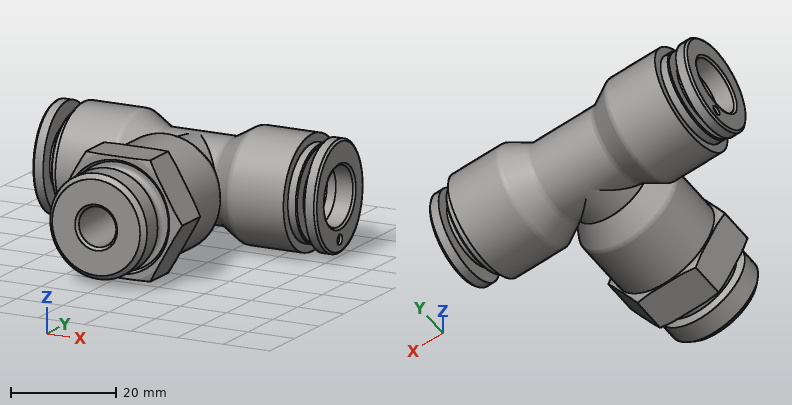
import cadquery as cq
import math

run_half_length = 30.6
overall_depth = 52.8

socket_radius = 23.2 / 2
branch_length = overall_depth - socket_radius
waist_radius = 17.45 / 2
shoulder_end = 12.65
shoulder_angle = 30.0
shoulder_fillet = 1.85
shoulder_run = (socket_radius - waist_radius) / math.tan(math.radians(shoulder_angle))
waist_half_length = shoulder_end - shoulder_run
run_bore_radius = 10.0 / 2
tube_radius = 12.2 / 2
tube_stop = shoulder_end

flange_thickness = 2.4
flange_half_height = 22.5 / 2
flange_half_width = 19.45 / 2
flange_chamfer = 0.4
sleeve_length = 4.1
sleeve_neck_radius = 14.2 / 2
sleeve_mouth_chamfer = 0.4
dimple_diameter = 2.0
dimple_offset = 8.5
dimple_depth = 0.6
collar_radius = 9.8
collar_length = 1.9
collar_chamfer = 0.25
collar_start = run_half_length - sleeve_length
socket_end = collar_start - collar_length

hex_across_flats = 24.0
hex_length = 7.95
hex_start = 24.7
hex_end = hex_start + hex_length
hex_corner_radius = hex_across_flats / math.sqrt(3)
hex_chamfer_radius = 12.55
hex_chamfer_angle = 15.0
hex_chamfer_drop = (hex_corner_radius - hex_chamfer_radius) * math.tan(math.radians(hex_chamfer_angle))
stud_bore_radius = 8.0 / 2
stud_bore_chamfer = 0.55
neck_radius = 18.2 / 2
neck_fillet = 1.0
neck_end = 35.2
thread_radius = 20.9 / 2
thread_chamfer = 1.0
thread_start = 36.0
seal_groove_radius = 11.25
seal_groove_depth = 0.5


def revolve_about_x(points):
    """Solid of revolution about X from (axial position, radius) points."""
    return cq.Workplane("XY").polyline(points).close().revolve(360, (0, 0), (1, 0))


def cylinder_along_x(radius, start, end):
    return cq.Workplane("YZ", origin=(start, 0, 0)).circle(radius).extrude(end - start)


def turn_to_branch(body):
    """Turn a body built along +X so that it points along -Y."""
    return body.rotate((0, 0, 0), (0, 0, 1), -90)


def fillet_circles(body, positions):
    """Round the circular edges that lie at the given positions along X."""
    circles = body.edges("%CIRCLE").filter(
        lambda edge: any(math.isclose(edge.Center().x, x, rel_tol=1e-6) for x in positions)
    )
    return circles.fillet(shoulder_fillet)


def make_run_outside():
    right_half = [
        (waist_half_length, waist_radius),
        (shoulder_end, socket_radius),
        (socket_end, socket_radius),
        (socket_end, 0),
    ]
    left_half = [(-x, radius) for x, radius in reversed(right_half)]
    run = revolve_about_x(left_half + right_half)
    run = fillet_circles(run, [-shoulder_end, -waist_half_length])
    return fillet_circles(run, [waist_half_length, shoulder_end])


def make_branch_outside():
    branch = revolve_about_x([
        (0, 0),
        (0, waist_radius),
        (waist_half_length, waist_radius),
        (shoulder_end, socket_radius),
        (hex_start, socket_radius),
        (hex_start, 0),
    ])
    return turn_to_branch(fillet_circles(branch, [shoulder_end]))


def make_housing():
    housing = make_run_outside().union(make_branch_outside())
    housing = housing.cut(cylinder_along_x(run_bore_radius, -socket_end, socket_end))
    housing = housing.cut(turn_to_branch(cylinder_along_x(stud_bore_radius, 0, hex_start)))
    for start, end in ((-socket_end, -tube_stop), (tube_stop, socket_end)):
        housing = housing.cut(cylinder_along_x(tube_radius, start, end))
    return housing


def make_collar():
    collar = cylinder_along_x(collar_radius, socket_end, collar_start)
    collar = collar.faces(">X").edges().chamfer(collar_chamfer)
    return collar.cut(cylinder_along_x(tube_radius, socket_end, collar_start))


def make_sleeve():
    """Release sleeve with an oval flange that is taller in Z than it is wide in Y."""
    flange = (
        cq.Workplane("YZ", origin=(run_half_length - flange_thickness, 0, 0))
        .ellipse(flange_half_width, flange_half_height)
        .extrude(flange_thickness)
        .faces(">X").edges().chamfer(flange_chamfer)
    )
    sleeve = flange.union(cylinder_along_x(sleeve_neck_radius, collar_start, run_half_length))
    sleeve = sleeve.cut(revolve_about_x([
        (collar_start, 0),
        (collar_start, tube_radius),
        (run_half_length - sleeve_mouth_chamfer, tube_radius),
        (run_half_length, tube_radius + sleeve_mouth_chamfer),
        (run_half_length, 0),
    ]))
    dimple = cylinder_along_x(dimple_diameter / 2, run_half_length - dimple_depth, run_half_length)
    return sleeve.cut(dimple.translate((0, 0, -dimple_offset)))


def make_hexagon():
    """Hexagon with corners on +/-X of the finished part and both ends chamfered."""
    prism = (
        cq.Workplane("YZ", origin=(hex_start, 0, 0))
        .polygon(6, 2 * hex_corner_radius)
        .extrude(hex_length)
    )
    envelope = revolve_about_x([
        (hex_start, 0),
        (hex_start, hex_chamfer_radius),
        (hex_start + hex_chamfer_drop, hex_corner_radius),
        (hex_end - hex_chamfer_drop, hex_corner_radius),
        (hex_end, hex_chamfer_radius),
        (hex_end, 0),
    ])
    return prism.intersect(envelope)


def make_threaded_end():
    """Neck that flares into the seal groove floor, and the plain thread cylinder."""
    groove_floor = hex_end - seal_groove_depth
    fillet_end = groove_floor + neck_fillet
    arc_offset = neck_fillet * (1 - math.sqrt(0.5))
    return (
        cq.Workplane("XY")
        .moveTo(groove_floor, 0)
        .lineTo(groove_floor, neck_radius + neck_fillet)
        .threePointArc(
            (groove_floor + arc_offset, neck_radius + arc_offset),
            (fillet_end, neck_radius),
        )
        .lineTo(neck_end, neck_radius)
        .lineTo(thread_start, thread_radius)
        .lineTo(branch_length - thread_chamfer, thread_radius)
        .lineTo(branch_length, thread_radius - thread_chamfer)
        .lineTo(branch_length, 0)
        .close()
        .revolve(360, (0, 0), (1, 0))
    )


def make_stud():
    seal_groove = revolve_about_x([
        (hex_end - seal_groove_depth, 0),
        (hex_end - seal_groove_depth, seal_groove_radius - seal_groove_depth),
        (hex_end, seal_groove_radius),
        (hex_end, 0),
    ])
    bore = revolve_about_x([
        (hex_start, 0),
        (hex_start, stud_bore_radius),
        (branch_length - stud_bore_chamfer, stud_bore_radius),
        (branch_length, stud_bore_radius + stud_bore_chamfer),
        (branch_length, 0),
    ])
    stud = make_hexagon().cut(seal_groove).union(make_threaded_end()).cut(bore)
    return turn_to_branch(stud)


def at_both_run_ends(make_body):
    """Two separate solids: one at the +X end of the run and one mirrored to the -X end."""
    right_body = make_body()
    return [body.solids().val() for body in (right_body, right_body.mirror("YZ"))]


housing = make_housing()
stud = make_stud()
collars = at_both_run_ends(make_collar)
sleeves = at_both_run_ends(make_sleeve)

result = cq.Compound.makeCompound([housing.solids().val(), stud.solids().val(), *collars, *sleeves])